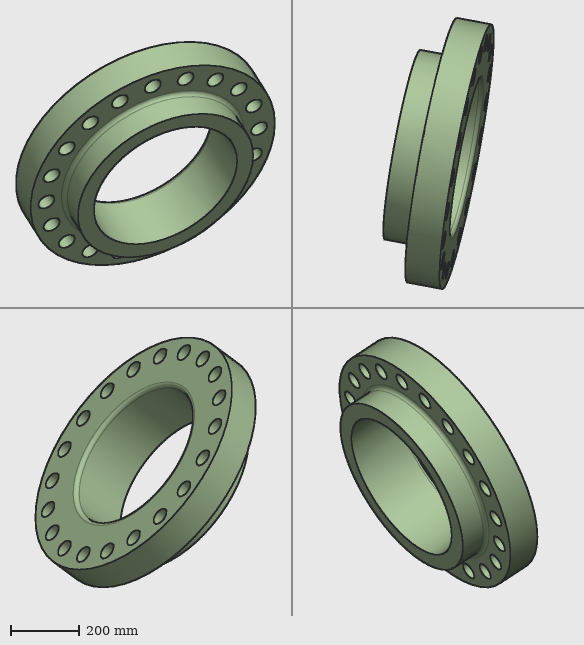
import cadquery as cq

flange_diameter = 787.5
flange_thickness = 102.0
total_length = 190.5
hub_diameter = 564.5
bore_diameter = 461.5

hub_fillet = 12.5
bore_fillet = 12.5

bolt_count = 20
bolt_circle_diameter = 685.0
bolt_hole_diameter = 51.0

flange_radius = flange_diameter / 2
hub_radius = hub_diameter / 2
bore_radius = bore_diameter / 2


def make_body():
    """Revolve the half section (X along the axis, Y as radius) around X."""
    return (
        cq.Workplane("XY")
        .moveTo(0, bore_radius + bore_fillet)
        .lineTo(0, flange_radius)
        .lineTo(flange_thickness, flange_radius)
        .lineTo(flange_thickness, hub_radius + hub_fillet)
        .radiusArc((flange_thickness + hub_fillet, hub_radius), -hub_fillet)
        .lineTo(total_length, hub_radius)
        .lineTo(total_length, bore_radius)
        .lineTo(bore_fillet, bore_radius)
        .radiusArc((0, bore_radius + bore_fillet), bore_fillet)
        .close()
        .revolve(360, (0, 0, 0), (1, 0, 0))
    )


def make_bolt_holes():
    """Ring of cutters through the flange, the first one on the Y axis."""
    return (
        cq.Workplane("YZ")
        .polarArray(bolt_circle_diameter / 2, 0, 360, bolt_count)
        .circle(bolt_hole_diameter / 2)
        .extrude(flange_thickness)
    )


result = make_body().cut(make_bolt_holes())